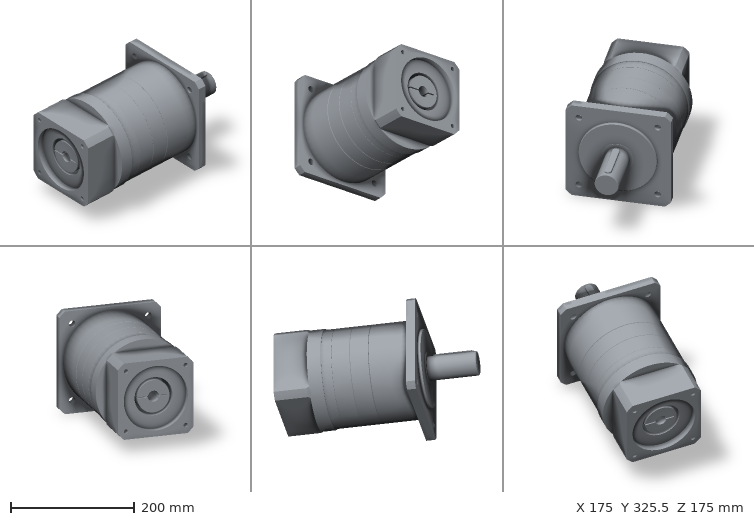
import cadquery as cq
import math


OVERALL_LENGTH = 325.5
DISK_START = 58.5
CORNER_CONE_LENGTH = 4.0
DISK_END = 81.7
GEAR_CASE_START = 98.5
GEAR_STAGE_LENGTH = 30.5
GEAR_STAGES = 2
FLANGE_BACK = 223.5
FLANGE_THICKNESS = 15.0
PILOT_HEIGHT = 5.0
COLLAR_HEIGHT = 1.0
GEAR_CASE_LENGTH = GEAR_STAGES * GEAR_STAGE_LENGTH
GEAR_CASE_END = GEAR_CASE_START + GEAR_CASE_LENGTH
FLANGE_FRONT = FLANGE_BACK + FLANGE_THICKNESS
PILOT_FACE = FLANGE_FRONT + PILOT_HEIGHT
COLLAR_FACE = PILOT_FACE + COLLAR_HEIGHT

CASE_DIAMETER = 162.0
HOUSING_EDGE_CHAMFER = 1.0
STAGE_EDGE_CHAMFER = 0.5
DISK_DIAMETER = 165.7
DISK_EDGE_CHAMFER = 0.5

FLANGE_SIDE = 175.0
FLANGE_CORNER_DIAMETER = 234.5
FLANGE_HOLE_SPACING = 131.0
FLANGE_HOLE_DIAMETER = 11.0
PILOT_DIAMETER = 130.2
PILOT_CHAMFER = 1.0

SHAFT_DIAMETER = 40.0
SHAFT_CHAMFER = 1.0
COLLAR_DIAMETER = 53.7
KEY_WIDTH = 12.0
KEY_LENGTH = 70.3
KEY_END_GAP = 5.0
KEY_RISE = 3.0
KEY_CHAMFER = 0.5

BLOCK_SIDE = 130.2
BLOCK_CORNER_DIAMETER = 170.0
MOTOR_PILOT_DIAMETER = 110.0
MOTOR_PILOT_DEPTH = 11.5
MOTOR_HOLE_SPACING = 102.5
MOTOR_HOLE_DIAMETER = 7.0
MOTOR_HOLE_DEPTH = 19.5
DRILL_POINT_ANGLE = 118.0

CAVITY_DIAMETER = 65.0
HUB_DIAMETER = 55.0
HUB_BORE_DIAMETER = 19.0
HUB_SLOT_WIDTH = 2.3
HUB_SLOT_REACH = 22.5

PLUG_DIAMETER = 20.2
PLUG_DEPTH = 9.8
PLUG_X = -PLUG_DIAMETER / 2
PLUG_Y = 26.0


def section_plane(y):
    """XZ plane at station y whose normal points along +Y."""
    return cq.Workplane(cq.Plane(origin=(0, y, 0), xDir=(1, 0, 0), normal=(0, 1, 0)))


def cylinder(diameter, start, end):
    return section_plane(start).circle(diameter / 2).extrude(end - start)


def rounded_square(side, corner_diameter, start, end):
    """Square bar whose corners are turned down to a diameter."""
    square = section_plane(start).rect(side, side).extrude(end - start)
    return square.intersect(cylinder(corner_diameter, start, end))


def make_output_housing():
    case = cylinder(CASE_DIAMETER, GEAR_CASE_END, FLANGE_BACK)
    case = case.faces("<Y").edges().chamfer(HOUSING_EDGE_CHAMFER)
    flange = rounded_square(FLANGE_SIDE, FLANGE_CORNER_DIAMETER, FLANGE_BACK, FLANGE_FRONT)
    holes = (
        section_plane(FLANGE_BACK)
        .rect(FLANGE_HOLE_SPACING, FLANGE_HOLE_SPACING, forConstruction=True)
        .vertices()
        .circle(FLANGE_HOLE_DIAMETER / 2)
        .extrude(FLANGE_THICKNESS)
    )
    flange = flange.cut(holes)
    pilot = cylinder(PILOT_DIAMETER, FLANGE_FRONT, PILOT_FACE)
    pilot = pilot.faces(">Y").edges().chamfer(PILOT_CHAMFER)
    collar_seat = cylinder(COLLAR_DIAMETER, FLANGE_BACK, PILOT_FACE)
    return case.union(flange).union(pilot).cut(collar_seat)


def make_gear_case():
    """One case for both gear stages, with a V groove where the stages meet."""
    case = None
    for stage in range(GEAR_STAGES):
        start = GEAR_CASE_START + stage * GEAR_STAGE_LENGTH
        ring = cylinder(CASE_DIAMETER, start, start + GEAR_STAGE_LENGTH)
        ring = ring.faces("<Y or >Y").edges().chamfer(STAGE_EDGE_CHAMFER)
        case = ring if case is None else case.union(ring)
    return case


def make_motor_holes():
    """Blind drilled holes with a conical bottom."""
    radius = MOTOR_HOLE_DIAMETER / 2
    tip = radius / math.tan(math.radians(DRILL_POINT_ANGLE / 2))
    profile = [(0, 0), (radius, 0), (radius, MOTOR_HOLE_DEPTH), (0, MOTOR_HOLE_DEPTH + tip)]
    drill = cq.Workplane("XY").polyline(profile).close().revolve(360, (0, 0, 0), (0, 1, 0))
    offset = MOTOR_HOLE_SPACING / 2
    holes = cq.Workplane("XY")
    for x in (-offset, offset):
        for z in (-offset, offset):
            holes = holes.add(drill.translate((x, 0, z)))
    return holes.combine()


def make_block():
    cone_end = DISK_START - CORNER_CONE_LENGTH
    block = rounded_square(BLOCK_SIDE, BLOCK_CORNER_DIAMETER, 0, cone_end)
    neck = section_plane(cone_end).rect(BLOCK_SIDE, BLOCK_SIDE).extrude(CORNER_CONE_LENGTH)
    cone = (
        section_plane(cone_end)
        .circle(BLOCK_CORNER_DIAMETER / 2)
        .workplane(offset=CORNER_CONE_LENGTH)
        .circle(DISK_DIAMETER / 2)
        .loft()
    )
    return block.union(neck.intersect(cone))


def make_plug():
    top = cq.Workplane("XY", origin=(PLUG_X, PLUG_Y, BLOCK_SIDE / 2))
    return top.circle(PLUG_DIAMETER / 2).extrude(-PLUG_DEPTH)


def make_input_housing(plug):
    housing = make_block()
    disk = cylinder(DISK_DIAMETER, DISK_START, DISK_END)
    disk = disk.faces(">Y").edges().chamfer(DISK_EDGE_CHAMFER)
    housing = housing.union(disk)
    housing = housing.union(cylinder(CASE_DIAMETER, DISK_END, GEAR_CASE_START))
    housing = housing.cut(cylinder(MOTOR_PILOT_DIAMETER, 0, MOTOR_PILOT_DEPTH))
    housing = housing.cut(cylinder(CAVITY_DIAMETER, MOTOR_PILOT_DEPTH, DISK_START))
    return housing.cut(make_motor_holes()).cut(plug)


def make_clamp_hub():
    hub = cylinder(HUB_DIAMETER, MOTOR_PILOT_DEPTH, DISK_START)
    hub = hub.cut(cylinder(HUB_BORE_DIAMETER, MOTOR_PILOT_DEPTH, DISK_START))
    slot_length = HUB_SLOT_REACH + HUB_DIAMETER / 2
    slot = (
        section_plane(MOTOR_PILOT_DEPTH)
        .center(HUB_SLOT_REACH - slot_length / 2, 0)
        .rect(slot_length, HUB_SLOT_WIDTH)
        .extrude(DISK_START - MOTOR_PILOT_DEPTH)
    )
    return hub.cut(slot)


def make_output_shaft():
    collar = cylinder(COLLAR_DIAMETER, FLANGE_BACK, COLLAR_FACE)
    shaft = cylinder(SHAFT_DIAMETER, COLLAR_FACE, OVERALL_LENGTH)
    shaft = shaft.faces(">Y").edges().chamfer(SHAFT_CHAMFER)
    key_center = OVERALL_LENGTH - KEY_END_GAP - KEY_LENGTH / 2
    key = (
        cq.Workplane("XY", origin=(0, key_center, 0))
        .slot2D(KEY_LENGTH, KEY_WIDTH, 90)
        .extrude(SHAFT_DIAMETER / 2 + KEY_RISE)
        .faces(">Z").edges().chamfer(KEY_CHAMFER)
    )
    return collar.union(shaft).union(key)


output_housing = make_output_housing()
gear_case = make_gear_case()
plug = make_plug()
input_housing = make_input_housing(plug)
clamp_hub = make_clamp_hub()
output_shaft = make_output_shaft()

result = cq.Compound.makeCompound([
    output_housing.val(),
    gear_case.val(),
    input_housing.val(),
    plug.val(),
    clamp_hub.val(),
    output_shaft.val(),
])